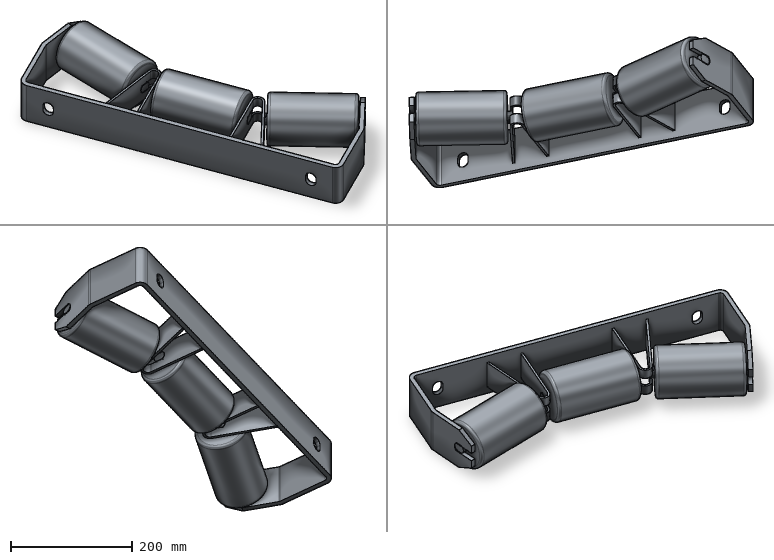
import cadquery as cq
import math


TILT = math.radians(20)
AXIS = cq.Vector(math.cos(TILT), math.sin(TILT), 0)
ALONG_PLATE = cq.Vector(-math.sin(TILT), math.cos(TILT), 0)

FRAME_LENGTH = 570.0
FRAME_HEIGHT = 80.0
FRAME_THICKNESS = 8.0
FRAME_BEND_INNER = 6.0
FRAME_BEND_OUTER = FRAME_BEND_INNER + FRAME_THICKNESS
FRAME_BEND_X = FRAME_LENGTH / 2 - FRAME_BEND_OUTER
ARM_BEND_CENTER = cq.Vector(FRAME_BEND_X, 102.5, 0)
ARM_LENGTH = 93.0
ARM_TAPER_LENGTH = 30.0
ARM_TIP_WIDTH = 47.0
MOUNT_SLOT_SPACING = 465.0
MOUNT_SLOT_WIDTH = 18.0
MOUNT_SLOT_LENGTH = 27.0

ROLLER_LENGTH = 150.0
ROLLER_DIAMETER = 89.0
ROLLER_FILLET = 5.0
SHAFT_DIAMETER = 20.0
SHAFT_RADIUS = SHAFT_DIAMETER / 2
SHAFT_FLAT_WIDTH = 16.0
SHAFT_FLAT_HALF = SHAFT_FLAT_WIDTH / 2
SHAFT_FLAT_EDGE = math.sqrt(SHAFT_RADIUS**2 - SHAFT_FLAT_HALF**2)
SHAFT_ROUND_LENGTH = 155.0
SHAFT_LENGTH = 169.0
SLOT_REACH = ARM_LENGTH
CENTER_ROLLER = cq.Vector(0, 101.0, 0)
SIDE_ROLLER = cq.Vector(182.5, 136.0, 0)

BRACKET_HEIGHT = 51.5
BRACKET_THICKNESS = 4.0
BRACKET_BEND_OUTER = 12.0
BRACKET_BEND_INNER = BRACKET_BEND_OUTER - BRACKET_THICKNESS
BRACKET_FACE_X = 80.0
BRACKET_BEND_CENTER = cq.Vector(BRACKET_FACE_X + BRACKET_BEND_OUTER, 118.0, 0)


def xy(point):
    """X and Y of a vector, for drawing in the XY plane."""
    return (point.x, point.y)


def mirrored(body):
    """The same body on the -X side."""
    return body.mirror("YZ")


def square_to(axis, origin):
    """Plane through a point, square to an axis in the XY plane; its local y is global Z."""
    up = cq.Vector(-axis.y, axis.x, 0)
    return cq.Workplane(cq.Plane(origin=origin.toTuple(), xDir=up.toTuple(), normal=axis.toTuple()))


def bend_point(center, radius, angle):
    """Point on a bend, at an angle in radians from +X."""
    return xy(center + cq.Vector(math.cos(angle), math.sin(angle), 0) * radius)


def shaft_slot(axis, shaft_center, face_distance, depth):
    """Cutter for an open-ended slot that seats a flatted shaft, starting at a plate face."""
    return (
        square_to(axis, shaft_center + axis * face_distance)
        .moveTo(SLOT_REACH, SHAFT_FLAT_HALF)
        .lineTo(-SHAFT_FLAT_EDGE, SHAFT_FLAT_HALF)
        .threePointArc((-SHAFT_RADIUS, 0), (-SHAFT_FLAT_EDGE, -SHAFT_FLAT_HALF))
        .lineTo(SLOT_REACH, -SHAFT_FLAT_HALF)
        .close()
        .extrude(depth)
    )


def half_strap():
    """Base, upright and tilted arm of the +X half."""
    corner = cq.Vector(FRAME_BEND_X, FRAME_BEND_OUTER, 0)
    diagonal = math.radians(-45)
    arm_foot = ARM_BEND_CENTER + AXIS * FRAME_BEND_OUTER
    arm_tip = arm_foot + ALONG_PLATE * ARM_LENGTH
    inner_x = FRAME_LENGTH / 2 - FRAME_THICKNESS
    return (
        cq.Workplane("XY", origin=(0, 0, -FRAME_HEIGHT / 2))
        .moveTo(0, 0)
        .lineTo(FRAME_BEND_X, 0)
        .threePointArc(bend_point(corner, FRAME_BEND_OUTER, diagonal), (FRAME_LENGTH / 2, corner.y))
        .lineTo(FRAME_LENGTH / 2, ARM_BEND_CENTER.y)
        .threePointArc(bend_point(ARM_BEND_CENTER, FRAME_BEND_OUTER, TILT / 2), xy(arm_foot))
        .lineTo(*xy(arm_tip))
        .lineTo(*xy(arm_tip - AXIS * FRAME_THICKNESS))
        .lineTo(*xy(arm_foot - AXIS * FRAME_THICKNESS))
        .threePointArc(
            bend_point(ARM_BEND_CENTER, FRAME_BEND_INNER, TILT / 2), (inner_x, ARM_BEND_CENTER.y)
        )
        .lineTo(inner_x, corner.y)
        .threePointArc(
            bend_point(corner, FRAME_BEND_INNER, diagonal), (FRAME_BEND_X, FRAME_THICKNESS)
        )
        .lineTo(0, FRAME_THICKNESS)
        .close()
        .extrude(FRAME_HEIGHT)
    )


def arm_tapers():
    """Cutters that narrow the +X arm towards its tip, above and below."""
    arm_tip = ARM_BEND_CENTER + AXIS * FRAME_BEND_INNER + ALONG_PLATE * ARM_LENGTH
    cutters = cq.Workplane("XY")
    for side in (-1, 1):
        cutters = cutters.add(
            square_to(AXIS, arm_tip)
            .moveTo(0, side * ARM_TIP_WIDTH / 2)
            .lineTo(-ARM_TAPER_LENGTH, side * FRAME_HEIGHT / 2)
            .lineTo(0, side * FRAME_HEIGHT / 2)
            .close()
            .extrude(FRAME_THICKNESS)
        )
    return cutters.combine()


def make_frame():
    arm_inner_face = (ARM_BEND_CENTER - SIDE_ROLLER).dot(AXIS) + FRAME_BEND_INNER
    half = (
        half_strap()
        .cut(arm_tapers())
        .cut(shaft_slot(AXIS, SIDE_ROLLER, arm_inner_face, FRAME_THICKNESS))
    )
    mount_slots = (
        cq.Workplane("XZ")
        .rarray(MOUNT_SLOT_SPACING, 5.5, 2, 1)
        .slot2D(MOUNT_SLOT_LENGTH, MOUNT_SLOT_WIDTH, 90)
        .extrude(-FRAME_THICKNESS)
    )
    return half.union(mirrored(half)).cut(mount_slots)


def make_bracket():
    """Folded strip on the +X side: an upright leg, a bend and a tilted leg, standing on the base."""
    leg_outer = BRACKET_BEND_CENTER + AXIS * BRACKET_BEND_OUTER
    leg_inner = BRACKET_BEND_CENTER + AXIS * BRACKET_BEND_INNER
    foot_outer = leg_outer - ALONG_PLATE * ((leg_outer.y - FRAME_THICKNESS) / ALONG_PLATE.y)
    foot_inner = leg_inner - ALONG_PLATE * ((leg_inner.y - FRAME_THICKNESS) / ALONG_PLATE.y)
    inner_x = BRACKET_FACE_X + BRACKET_THICKNESS
    bend_middle = (math.pi + TILT) / 2
    strip = (
        cq.Workplane("XY", origin=(0, 0, -BRACKET_HEIGHT / 2))
        .moveTo(BRACKET_FACE_X, FRAME_THICKNESS)
        .lineTo(BRACKET_FACE_X, BRACKET_BEND_CENTER.y)
        .threePointArc(
            bend_point(BRACKET_BEND_CENTER, BRACKET_BEND_OUTER, bend_middle), xy(leg_outer)
        )
        .lineTo(*xy(foot_outer))
        .lineTo(*xy(foot_inner))
        .lineTo(*xy(leg_inner))
        .threePointArc(
            bend_point(BRACKET_BEND_CENTER, BRACKET_BEND_INNER, bend_middle),
            (inner_x, BRACKET_BEND_CENTER.y),
        )
        .lineTo(inner_x, FRAME_THICKNESS)
        .close()
        .extrude(BRACKET_HEIGHT)
    )
    bend_distance = (BRACKET_BEND_CENTER - SIDE_ROLLER).dot(AXIS)
    upright_slot = shaft_slot(cq.Vector(1, 0, 0), CENTER_ROLLER, BRACKET_FACE_X, BRACKET_BEND_OUTER)
    tilted_slot = shaft_slot(AXIS, SIDE_ROLLER, bend_distance, BRACKET_BEND_OUTER)
    return strip.cut(upright_slot).cut(tilted_slot)


def make_roller(axis, center):
    """Roller body with its shaft, centred on a point."""

    def end_plane(length):
        return square_to(axis, center - axis * (length / 2))

    body = (
        end_plane(ROLLER_LENGTH)
        .circle(ROLLER_DIAMETER / 2)
        .extrude(ROLLER_LENGTH)
        .faces("%PLANE")
        .edges()
        .fillet(ROLLER_FILLET)
    )
    round_shaft = end_plane(SHAFT_ROUND_LENGTH).circle(SHAFT_RADIUS).extrude(SHAFT_ROUND_LENGTH)
    flatted_shaft = (
        end_plane(SHAFT_LENGTH)
        .moveTo(-SHAFT_FLAT_EDGE, SHAFT_FLAT_HALF)
        .threePointArc((-SHAFT_RADIUS, 0), (-SHAFT_FLAT_EDGE, -SHAFT_FLAT_HALF))
        .lineTo(SHAFT_FLAT_EDGE, -SHAFT_FLAT_HALF)
        .threePointArc((SHAFT_RADIUS, 0), (SHAFT_FLAT_EDGE, SHAFT_FLAT_HALF))
        .close()
        .extrude(SHAFT_LENGTH)
    )
    return body.union(round_shaft).union(flatted_shaft)


frame = make_frame()

bracket = make_bracket()
brackets = [bracket, mirrored(bracket)]

center_roller = make_roller(cq.Vector(1, 0, 0), CENTER_ROLLER)
side_roller = make_roller(AXIS, SIDE_ROLLER)
rollers = [center_roller, side_roller, mirrored(side_roller)]

result = cq.Compound.makeCompound([body.val() for body in [frame, *brackets, *rollers]])